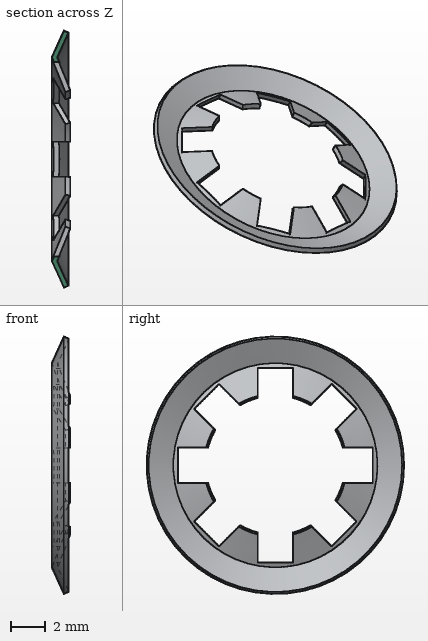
import cadquery as cq
import math

outer_diameter = 14.83
ridge_diameter = 11.76
bore_diameter = 8.0
thickness = 0.30
rim_angle = 24.5
tooth_angle = 22.8
slot_count = 8
slot_width = 2.02
slot_bottom_radius = 5.59

outer_radius = outer_diameter / 2
ridge_radius = ridge_diameter / 2
bore_radius = bore_diameter / 2
rim_slope = math.radians(rim_angle)
tooth_slope = math.radians(tooth_angle)
rim_depth = (outer_radius - ridge_radius) * math.tan(rim_slope)
tooth_depth = (ridge_radius - bore_radius) * math.tan(tooth_slope)

rim_back_x = thickness / math.cos(rim_slope)
tooth_back_x = thickness / math.cos(tooth_slope)
valley_shift = (tooth_back_x - rim_back_x) / (math.tan(rim_slope) + math.tan(tooth_slope))
valley_x = rim_back_x + valley_shift * math.tan(rim_slope)
valley_radius = ridge_radius + valley_shift


def make_dished_ring():
    """V-section sheet ring about the X axis, with its ridge on the plane X = 0."""
    ridge = (0, ridge_radius)
    rim_front = (rim_depth, outer_radius)
    rim_back = (
        rim_depth + thickness * math.cos(rim_slope),
        outer_radius - thickness * math.sin(rim_slope),
    )
    valley = (valley_x, valley_radius)
    tip_back = (
        tooth_depth + thickness * math.cos(tooth_slope),
        bore_radius + thickness * math.sin(tooth_slope),
    )
    tip_front = (tooth_depth, bore_radius)
    section = cq.Workplane("XY").polyline([ridge, rim_front, rim_back, valley, tip_back, tip_front]).close()
    return section.revolve(360, (0, 0, 0), (1, 0, 0))


def make_slots():
    """Straight radial slots along X, with flat bottoms, that separate the teeth."""
    slot_depth_x = 2 * (tooth_depth + rim_depth)
    slot = cq.Workplane("XY").box(slot_depth_x, slot_width, slot_bottom_radius, centered=(True, True, False))
    slots = slot
    for index in range(1, slot_count):
        turn = index * 360 / slot_count
        slots = slots.union(slot.rotate((0, 0, 0), (1, 0, 0), turn))
    return slots


result = make_dished_ring().cut(make_slots())